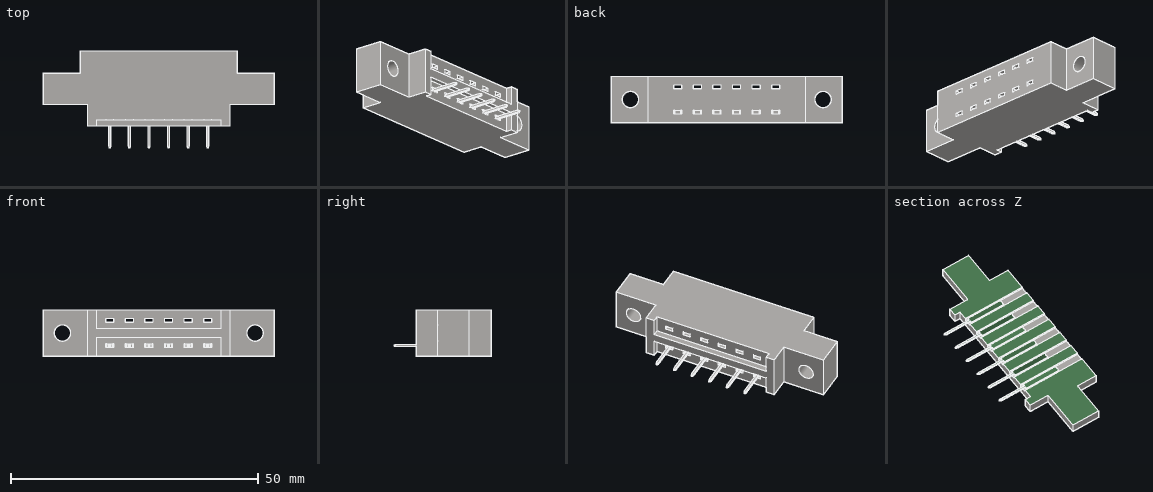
import cadquery as cq


height = 9.4
overall_length = 46.79
rear_length = 31.75
front_length = 28.9
housing_depth = 15.24

ear_rear_y = -4.53
ear_front_y = -10.87
mount_hole_spacing = 38.95
mount_hole_diameter = 3.25

recess_length = 25.25
recess_depth = 1.27
rib_height = 1.83
recess_height = (height - rib_height) / 2
recess_floor_y = recess_depth - housing_depth

contact_count = 6
contact_pitch = 3.96
row_offset = 2.54
slot_width = 1.6
slot_height = 0.72
contact_xs = [(i - (contact_count - 1) / 2) * contact_pitch for i in range(contact_count)]

blade_width = 1.3
blade_inset = 0.5
blade_length = 8.0
tail_size = 0.46
tail_protrusion = 4.45
tip_chamfer_length = 0.4
tip_chamfer_width = 0.12


def block(x_size, y_front, y_rear, z_size, x=0, z=0):
    """Box centred on (x, z) that spans y_front to y_rear."""
    centre = (x, (y_front + y_rear) / 2, z)
    return cq.Workplane("XY", origin=centre).box(x_size, y_rear - y_front, z_size)


def make_housing():
    body = block(rear_length, ear_front_y, 0, height)
    body = body.union(block(overall_length, ear_front_y, ear_rear_y, height))
    body = body.union(block(front_length, -housing_depth, ear_front_y, height))

    for x in (-mount_hole_spacing / 2, mount_hole_spacing / 2):
        hole = (
            cq.Workplane("XZ", origin=(x, ear_rear_y, 0))
            .circle(mount_hole_diameter / 2)
            .extrude(ear_rear_y - ear_front_y)
        )
        body = body.cut(hole)

    for side in (-1, 1):
        recess_z = side * (rib_height + recess_height) / 2
        body = body.cut(block(recess_length, -housing_depth, recess_floor_y, recess_height, z=recess_z))
        for x in contact_xs:
            slot = block(slot_width, recess_floor_y, 0, slot_height, x, side * row_offset)
            body = body.cut(slot)
    return body


def make_pin(x):
    blade_front_y = recess_floor_y + blade_inset
    tip_y = -housing_depth - tail_protrusion
    taper_y = tip_y + tip_chamfer_length
    tip_size = tail_size - 2 * tip_chamfer_width

    blade = block(blade_width, blade_front_y, blade_front_y + blade_length, slot_height, x, -row_offset)
    tail = block(tail_size, taper_y, blade_front_y, tail_size, x, -row_offset)
    tip = (
        cq.Workplane("XZ", origin=(x, taper_y, -row_offset))
        .rect(tail_size, tail_size)
        .workplane(offset=tip_chamfer_length)
        .rect(tip_size, tip_size)
        .loft(ruled=True)
    )
    return blade.union(tail).union(tip)


housing = make_housing()
pins = [make_pin(x) for x in contact_xs]

result = cq.Compound.makeCompound([housing.val(), *[pin.val() for pin in pins]])